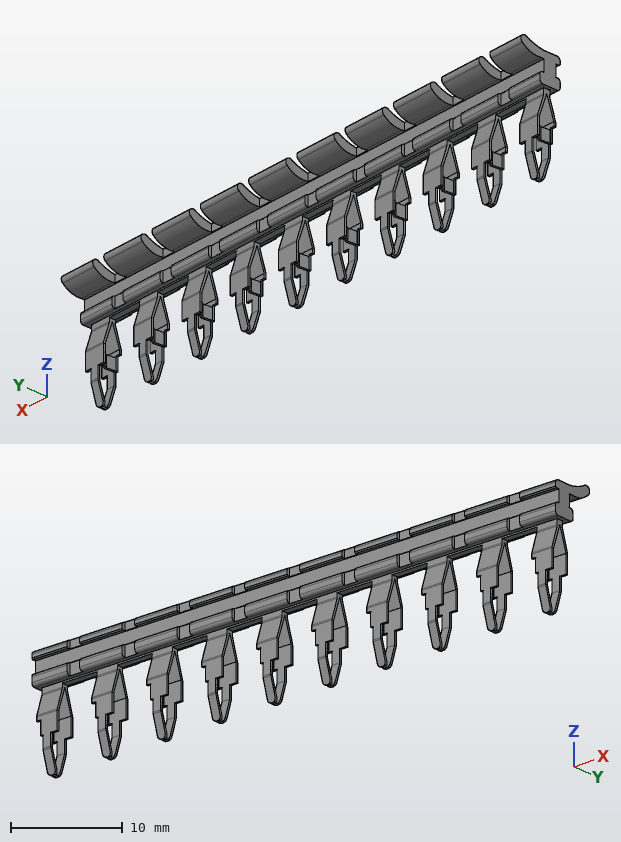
import cadquery as cq

rail_length = 61.0
pin_count = 10
pin_pitch = 6.4
first_pin_x = -28.85
pin_xs = [first_pin_x + i * pin_pitch for i in range(pin_count)]
clearance = 12.2

web_half = 0.75
foot_half = 1.2
foot_height = 1.3
foot_round = 0.35
flange_bottom = 2.6
flange_top = 3.5
nose_y = -1.2
nose_z = 3.1
nose_arc_mid = (-1.1, 3.35)
nose_chamfer = 0.1
tail_upper_mid = (1.9, 3.7)
tail_upper_end = (2.75, 4.1)
tail_tip = (3.55, 3.8)
tail_lower_end = (3.35, 3.35)
tail_lower_mid = (2.5, 2.8)
tail_curve_start = (1.1, flange_bottom)

gap_width = 1.45
core_half = foot_half - foot_round

strip_half = 0.35
strip_top = 1.2
strip_drop = 0.2

pin_width = 2.4
sheet = 0.25
leg_half = 1.1
leg_inner_half = leg_half - sheet
slot_apex = -0.5
stem_end = -0.7
leg_top = -3.0
leg_bottom = -6.4
pin_end = -8.8
tip_half = 0.35
tip_inner_half = tip_half - sheet
tip_rise = 0.05
tip_inner_z = pin_end + tip_rise
bend_radius = 0.5
shoulder_z = -5.0
prong_width = 0.9
prong_round = 0.35

tongue_top = -3.65
tongue_relief = 0.2
tongue_root = (-0.75, -leg_half)
tongue_kink = (-0.6, 0.2)
tongue_tip = (-0.9, 0.75)


def rail_profile():
    return (
        cq.Workplane("YZ")
        .moveTo(-web_half, flange_bottom)
        .lineTo(nose_y + nose_chamfer, flange_bottom)
        .lineTo(nose_y, flange_bottom + nose_chamfer)
        .lineTo(nose_y, nose_z)
        .threePointArc(nose_arc_mid, (-web_half, flange_top))
        .lineTo(web_half, flange_top)
        .threePointArc(tail_upper_mid, tail_upper_end)
        .threePointArc(tail_tip, tail_lower_end)
        .threePointArc(tail_lower_mid, tail_curve_start)
        .lineTo(web_half, flange_bottom)
        .lineTo(web_half, foot_height)
        .lineTo(foot_half, foot_height)
        .lineTo(foot_half, 0)
        .lineTo(-foot_half, 0)
        .lineTo(-foot_half, foot_height)
        .lineTo(-web_half, foot_height)
        .close()
    )


def comb_strip():
    strip_length = pin_xs[-1] - pin_xs[0] + pin_width
    strip_middle = (pin_xs[0] + pin_xs[-1]) / 2
    return (
        cq.Workplane("XY", origin=(strip_middle, 0, -strip_drop))
        .box(strip_length, 2 * strip_half, strip_top + strip_drop, centered=(True, True, False))
    )


def make_rail():
    rail = rail_profile().extrude(rail_length / 2, both=True)

    for y in (-foot_half, foot_half):
        for z in (0, foot_height):
            foot_edge = cq.selectors.NearestToPointSelector((0, y, z))
            rail = rail.edges(foot_edge).fillet(foot_round)

    for x in pin_xs[:-1]:
        for side in (-1, 1):
            gap_middle = (x + pin_pitch / 2, side * (core_half + clearance / 2), 0)
            gap = cq.Workplane("XY", origin=gap_middle).box(gap_width, clearance, clearance)
            rail = rail.cut(gap)

    return rail.cut(comb_strip())


def pin_sheets():
    """The two bent legs, full width from root to tip."""
    outer = (
        cq.Workplane("YZ")
        .polyline([
            (-strip_half, 0),
            (-strip_half, stem_end),
            (-leg_half, leg_top),
            (-leg_half, leg_bottom),
            (-tip_half, pin_end),
            (-tip_inner_half, tip_inner_z),
            (tip_inner_half, tip_inner_z),
            (tip_half, pin_end),
            (leg_half, leg_bottom),
            (leg_half, leg_top),
            (strip_half, stem_end),
            (strip_half, 0),
        ])
        .close()
        .extrude(pin_width / 2, both=True)
    )
    for y, z in ((strip_half, stem_end), (leg_half, leg_top), (leg_half, leg_bottom)):
        for side in (-1, 1):
            bend = cq.selectors.NearestToPointSelector((0, side * y, z))
            outer = outer.edges(bend).fillet(bend_radius)
    inner = (
        cq.Workplane("YZ")
        .polyline([
            (0, slot_apex),
            (-leg_inner_half, leg_top),
            (-leg_inner_half, leg_bottom),
            (-tip_inner_half, tip_inner_z),
            (tip_inner_half, tip_inner_z),
            (leg_inner_half, leg_bottom),
            (leg_inner_half, leg_top),
        ])
        .close()
        .extrude(pin_width, both=True)
    )
    return outer.cut(inner)


def pin_outline():
    """Wide upper leg and narrow round-ended prong, as a block through both legs."""
    wide = (
        cq.Workplane("XY", origin=(0, 0, shoulder_z))
        .box(pin_width, clearance, -shoulder_z, centered=(True, True, False))
    )
    prong = (
        cq.Workplane("XY", origin=(0, 0, pin_end))
        .box(prong_width, clearance, -pin_end, centered=(True, True, False))
        .edges("|Y and <Z")
        .fillet(prong_round)
    )
    return wide.union(prong)


def tongue_opening():
    """Corner of the front leg that the tongue is bent from."""
    width = pin_width / 2 + tongue_root[0]
    height = tongue_top + tongue_relief - shoulder_z
    return (
        cq.Workplane("XY", origin=(-pin_width / 2, -leg_half, shoulder_z))
        .box(width, sheet, height, centered=False)
    )


def tongue():
    bend_line = [tongue_root, tongue_kink, tongue_tip]
    far_side = [(x + sheet, y) for x, y in reversed(bend_line)]
    return (
        cq.Workplane("XY", origin=(0, 0, shoulder_z))
        .polyline(bend_line + far_side)
        .close()
        .extrude(tongue_top - shoulder_z)
    )


def make_pin():
    return pin_sheets().intersect(pin_outline()).cut(tongue_opening()).union(tongue())


def make_comb():
    comb = comb_strip()
    pin = make_pin()
    for x in pin_xs:
        comb = comb.union(pin.translate((x, 0, 0)))
    return comb


rail = make_rail()
comb = make_comb()
result = cq.Compound.makeCompound([*rail.solids().vals(), *comb.solids().vals()])